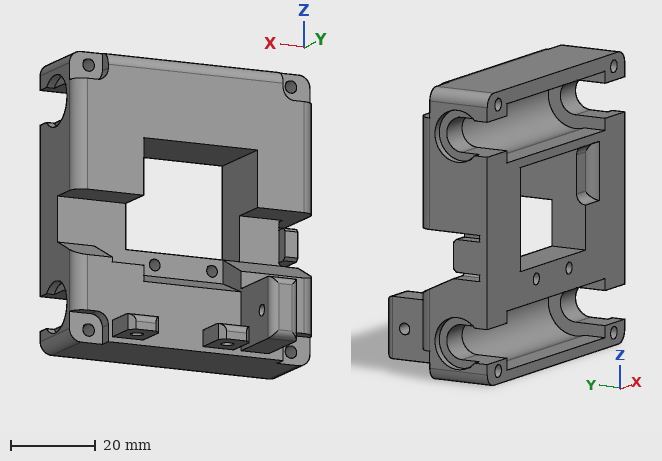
import cadquery as cq


width = 63.0
height = 70.2
depth = 19.0
corner_radius = 3.0
rear_fillet = 3.2
half_width = width / 2
half_height = height / 2
overshoot = 1.0

relief_width = 8.6
relief_height = 7.1
relief_floor = depth - rear_fillet
relief_fillet = 3.0

rod_spacing = 49.8
rod_offset = -0.5
rod_axis_depth = 8.1
rod_slot_width = 8.4
bearing_diameter = 15.0
bearing_mouth = 14.2
bearing_length = 45.0
seal_diameter = 12.5
seal_depth = 2.0
rod_levels = [rod_offset + rod_spacing / 2, rod_offset - rod_spacing / 2]

window_left = -16.2
window_right = 13.6
window_bottom = -9.9
window_top = 15.1
pocket_width = 6.4
pocket_height = 14.2
pocket_depth = 2.5
pocket_fillet = 2.4

channel_floor = 9.3
channel_top = 1.2
channel_slope_end = -14.6

clearance_left = -11.9
clearance_bottom = -15.7
clearance_slope_end = -19.6
side_notch_right = 21.8

mount_diameter = 3.0
mount_spacing_x = 53.0
mount_spacing_z = 64.0
sill_diameter = 2.8
sill_hole_spacing = 15.0
sill_hole_center_x = -1.5
sill_hole_z = -12.9

tie_slot = 1.6
tie_front = 2.1
tie_reach = 5.0
tie_outer_fillet = 1.0
tie_post_chamfer = 0.8

tall_tab_left = -19.1
tall_tab_width = 7.2
tall_tab_bottom = -33.8
tall_tab_height = 15.0
tall_tab_end = 35.3
tall_tab_rounding = 1.9
tall_tab_hole_diameter = 2.8
tall_tab_hole_depth = 30.1
small_tab_lefts = [-9.9, 13.8]
small_tab_width = 8.0
small_tab_bottom = tall_tab_bottom
small_tab_height = 4.0
small_tab_end = 28.8
small_tab_rounding = 2.1
small_tab_corner = 1.4
small_tab_hole_diameter = 3.0
small_tab_hole_depth = 23.9


def box(x_range, y_range, z_range):
    """Box spanning three (low, high) ranges."""
    ranges = (x_range, y_range, z_range)
    corner = tuple(low for low, high in ranges)
    size = [high - low for low, high in ranges]
    return cq.Workplane("XY").box(*size, centered=False).translate(corner)


def pin_y(diameter, x, z):
    """Cylinder along Y through the whole block."""
    plane = cq.Workplane("XZ", origin=(x, -overshoot, z))
    return plane.circle(diameter / 2).extrude(-(depth + 2 * overshoot))


def profile_along_x(points, x_low, x_high):
    """Prism along X from a list of (y, z) points."""
    return cq.Workplane("YZ", origin=(x_low, 0, 0)).polyline(points).close().extrude(x_high - x_low)


def block():
    body = box((-half_width, half_width), (0, depth), (-half_height, half_height))
    body = body.edges("|Y").fillet(corner_radius)
    rounded = box((-half_width, half_width), (0, depth), (-half_height - rear_fillet, half_height))
    rounded = rounded.faces(">Y").edges(">X or <X or >Z").fillet(rear_fillet)
    return body.intersect(rounded)


def corner_reliefs():
    x_inner = half_width - relief_width
    z_inner = half_height - relief_height
    span = relief_width + overshoot
    relief = box(
        (x_inner, x_inner + span),
        (relief_floor, depth + overshoot),
        (z_inner, half_height + overshoot),
    )
    relief = relief.edges("|Y and <X and <Z").fillet(relief_fillet)
    pair = relief.union(relief.mirror("YZ"))
    return pair.union(pair.mirror("XY"))


def open_groove(diameter, mouth_width, length, level):
    """Bore along X with a flat-sided mouth open to the front face."""
    plane = cq.Workplane("YZ", origin=(-length / 2, rod_axis_depth, level))
    bore = plane.circle(diameter / 2).extrude(length)
    mouth = box(
        (-length / 2, length / 2),
        (-overshoot, rod_axis_depth),
        (level - mouth_width / 2, level + mouth_width / 2),
    )
    return bore.union(mouth)


def rod_seat(level):
    seat = open_groove(rod_slot_width, rod_slot_width, width + 2 * overshoot, level)
    seat = seat.union(open_groove(bearing_diameter, bearing_mouth, bearing_length, level))
    for start in (-half_width, half_width - seal_depth):
        plane = cq.Workplane("YZ", origin=(start, rod_axis_depth, level))
        seat = seat.union(plane.circle(seal_diameter / 2).extrude(seal_depth))
    return seat


def window():
    return box((window_left, window_right), (-overshoot, depth + overshoot), (window_bottom, window_top))


def finger_pocket():
    right = window_right + pocket_width
    bottom = window_top - pocket_height
    pocket = box(
        (window_right - pocket_fillet, right),
        (-overshoot, pocket_depth),
        (bottom, window_top),
    )
    return pocket.faces(">Y").edges(">X or >Z or <Z").fillet(pocket_fillet)


def rear_channel():
    slope = (channel_slope_end - window_bottom) / (depth - channel_floor)
    back = depth + overshoot
    points = [
        (channel_floor, channel_top),
        (back, channel_top),
        (back, channel_slope_end + slope * overshoot),
        (channel_floor, window_bottom),
    ]
    return profile_along_x(points, -half_width - overshoot, half_width + overshoot)


def sill_clearance():
    """Deeper part of the channel behind the sill, and the notch to its right."""
    points = [
        (channel_floor, window_bottom),
        (channel_floor, clearance_bottom),
        (depth, clearance_slope_end),
        (depth, window_bottom),
    ]
    deep = profile_along_x(points, clearance_left, window_right)
    notch = box(
        (window_right, side_notch_right),
        (channel_floor, depth),
        (clearance_bottom, window_bottom),
    )
    return deep.union(notch)


def screw_holes():
    holes = cq.Workplane("XZ")
    for x_sign in (-1, 1):
        for z_sign in (-1, 1):
            x = x_sign * mount_spacing_x / 2
            z = z_sign * mount_spacing_z / 2
            holes = holes.add(pin_y(mount_diameter, x, z))
        sill_x = sill_hole_center_x + x_sign * sill_hole_spacing / 2
        holes = holes.add(pin_y(sill_diameter, sill_x, sill_hole_z))
    return holes.combine()


def tie_loop():
    """U-shaped passage around a post, open to the left side and to the channel."""
    inner_x = -half_width + tie_reach
    loop = box((-half_width, inner_x), (tie_front, channel_floor), (window_bottom, channel_top))
    loop = loop.edges("|Y and >X").fillet(tie_outer_fillet)
    post = box(
        (-half_width, inner_x - tie_slot),
        (tie_front, channel_floor),
        (window_bottom + tie_slot, channel_top - tie_slot),
    )
    post = post.faces(">Y").edges("|X").chamfer(tie_post_chamfer)
    return loop.cut(post)


def tall_tab():
    top = tall_tab_bottom + tall_tab_height
    tab = box(
        (tall_tab_left, tall_tab_left + tall_tab_width),
        (relief_floor, tall_tab_end),
        (tall_tab_bottom, top),
    )
    tab = tab.faces(">Y").edges().fillet(tall_tab_rounding)
    middle = (tall_tab_bottom + top) / 2
    hole = cq.Workplane("YZ", origin=(tall_tab_left, tall_tab_hole_depth, middle))
    return tab.cut(hole.circle(tall_tab_hole_diameter / 2).extrude(tall_tab_width))


def small_tab(left):
    top = small_tab_bottom + small_tab_height
    tab = box(
        (left, left + small_tab_width),
        (relief_floor, small_tab_end),
        (small_tab_bottom, top),
    )
    tab = tab.edges("|Z and >Y").chamfer(small_tab_corner)
    tab = tab.faces(">Y").edges(">Z").fillet(small_tab_rounding)
    hole = cq.Workplane("XY", origin=(left + small_tab_width / 2, small_tab_hole_depth, small_tab_bottom))
    return tab.cut(hole.circle(small_tab_hole_diameter / 2).extrude(small_tab_height))


result = block().cut(corner_reliefs())
result = result.cut(window()).cut(finger_pocket())
result = result.cut(rear_channel()).cut(sill_clearance())
result = result.cut(tie_loop())
result = result.union(tall_tab())
for tab_left in small_tab_lefts:
    result = result.union(small_tab(tab_left))
for rod_level in rod_levels:
    result = result.cut(rod_seat(rod_level))
result = result.cut(screw_holes())